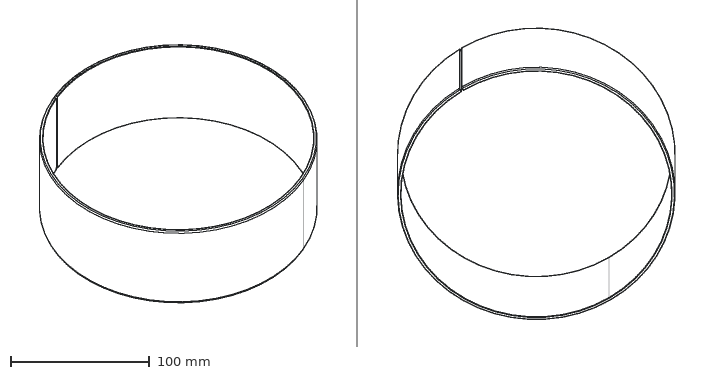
import cadquery as cq

outer_diameter = 200.0
wall = 2.5
height = 70.0
slit_width = 1.8
outer_chamfer_height = 1.5
outer_chamfer_width = 0.5
inner_chamfer = 0.5

outer_radius = outer_diameter / 2
inner_radius = outer_radius - wall
cutter_depth = 4 * wall


def chamfered_band():
    """Wall section with chamfered outer and inner rims, revolved about the Z axis."""
    half_height = height / 2
    outer_shoulder = half_height - outer_chamfer_height
    outer_rim = outer_radius - outer_chamfer_width
    inner_shoulder = half_height - inner_chamfer
    inner_rim = inner_radius + inner_chamfer
    section = [
        (inner_rim, -half_height),
        (outer_rim, -half_height),
        (outer_radius, -outer_shoulder),
        (outer_radius, outer_shoulder),
        (outer_rim, half_height),
        (inner_rim, half_height),
        (inner_radius, inner_shoulder),
        (inner_radius, -inner_shoulder),
    ]
    return cq.Workplane("XZ").polyline(section).close().revolve(360, (0, 0), (0, 1))


def slit():
    """Full-height cut through the wall on the -X side, from the XZ plane toward +Y."""
    cutter = cq.Workplane("XY").box(cutter_depth, slit_width, height)
    return cutter.translate((-outer_radius, slit_width / 2, 0))


result = chamfered_band().cut(slit())